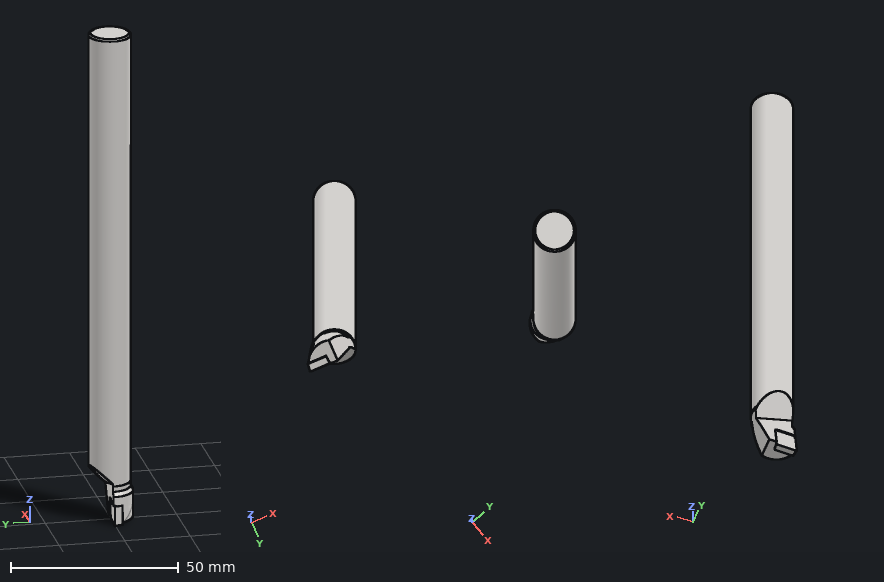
import cadquery as cq
import math

total_length = 153.6
shank_radius = 12.8 / 2
end_chamfer = 0.6

neck_top = 12.1
neck_radius = 6.3
flare_top = 10.5
head_top = 9.0
head_radius = 6.84
head_center_x = -0.9

flank_low_shift = (0.08, -0.34)
flank_high_shift = (0.6, -0.2)

underside_left_z = 0.8
bevel_foot_x = 0.9
bevel_foot_z = 1.5

runout_height = 10.8
runout_slope_x = -0.28
runout_slope_y = 1.02
face_y = 0.3

insert_edge = 6.5
insert_thickness = 2.5
insert_angle = 80.0
insert_relief = 7.0
nose_radius = 0.38
tip_x = -7.91

margin = 15.4


def make_disc(radius, x, y, z):
    return cq.Workplane("XY", origin=(x, y, z)).circle(radius)


def make_shank():
    shank = make_disc(shank_radius, 0, 0, neck_top).extrude(total_length - neck_top)
    shank = shank.faces(">Z").chamfer(end_chamfer)
    neck = make_disc(neck_radius, 0, 0, flare_top).extrude(neck_top - flare_top)
    return shank.union(neck)


def loft_circles(low_radius, low_center, high_radius, high_center):
    """Ruled solid between two horizontal circles."""
    wires = [
        cq.Wire.makeCircle(low_radius, cq.Vector(*low_center), cq.Vector(0, 0, 1)),
        cq.Wire.makeCircle(high_radius, cq.Vector(*high_center), cq.Vector(0, 0, 1)),
    ]
    return cq.Workplane(obj=cq.Solid.makeLoft(wires, True))


def make_head():
    """Upright cylinder trimmed by a leaning flank, with a flare up to the neck."""
    upright = make_disc(head_radius, head_center_x, 0, 0).extrude(flare_top)
    low_x = head_center_x + flank_low_shift[0]
    high_x = head_center_x + flank_high_shift[0]
    flank = loft_circles(
        head_radius, (low_x, flank_low_shift[1], 0),
        head_radius, (high_x, flank_high_shift[1], head_top),
    )
    flare = loft_circles(
        head_radius, (high_x, flank_high_shift[1], head_top),
        neck_radius, (0, 0, flare_top),
    )
    return upright.intersect(flank.union(flare))


def make_end_cutter():
    """Everything below the underside and outside the +X bevel."""
    points = [
        (tip_x, underside_left_z),
        (bevel_foot_x, bevel_foot_z),
        (shank_radius, neck_top),
        (margin, neck_top),
        (margin, -margin),
        (tip_x, -margin),
    ]
    return cq.Workplane("XZ").polyline(points).close().extrude(margin, both=True)


def make_runout_cutter():
    """Everything on the +Y side of the head face and below the sloping runout plane."""
    normal = (-runout_slope_x, -runout_slope_y, 1)
    plane = cq.Plane(origin=(0, 0, runout_height), xDir=(1, 0, runout_slope_x), normal=normal)
    below = cq.Workplane(plane).rect(4 * margin, 4 * margin).extrude(-3 * margin)
    space = cq.Workplane("XY", origin=(0, face_y, 0))
    space = space.box(4 * margin, 2 * margin, 6 * margin, centered=(True, False, True))
    return below.intersect(space)


def make_insert_outline():
    """Rhombus with rounded corners, leaning so that both edges clear the tip."""
    low_angle = math.radians((90 - insert_angle) / 2)
    long_step = insert_edge * math.cos(low_angle)
    short_step = insert_edge * math.sin(low_angle)
    corner_gap = nose_radius / math.sin(math.radians(insert_angle / 2)) / math.sqrt(2)
    corner_x = tip_x + nose_radius - corner_gap
    corner_z = nose_radius - corner_gap
    points = [
        (corner_x, corner_z),
        (corner_x + long_step, corner_z + short_step),
        (corner_x + long_step + short_step, corner_z + long_step + short_step),
        (corner_x + short_step, corner_z + long_step),
    ]
    return cq.Sketch().polygon(points + points[:1]).vertices().fillet(nose_radius)


def make_insert():
    """Insert narrowing away from its rake face."""
    rake_face = cq.Workplane("XZ").placeSketch(make_insert_outline())
    return rake_face.extrude(insert_thickness, taper=insert_relief)


def make_insert_clearance():
    """Opening above the rake face, up through the head face."""
    return cq.Workplane("XZ").placeSketch(make_insert_outline()).extrude(-face_y)


insert = make_insert()
bar = make_shank().union(make_head())
bar = bar.cut(make_end_cutter()).cut(make_runout_cutter())
bar = bar.cut(insert).cut(make_insert_clearance())

result = cq.Compound.makeCompound([*bar.solids().vals(), insert.val()])